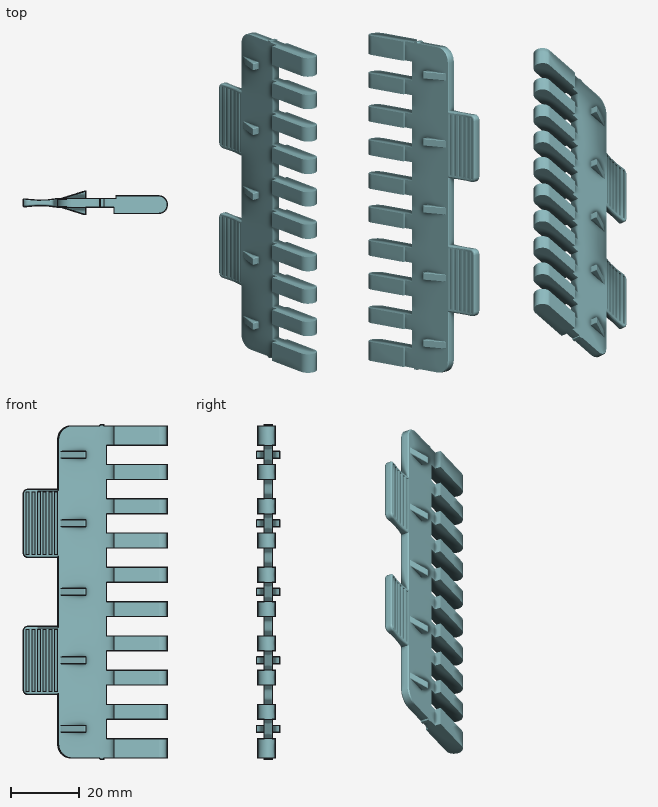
import cadquery as cq
import math

total_length_x = 42.15
total_width_y = 6.86
total_height_z = 97.7

plate_thickness = 2.6
plate_back_x = 10.1
plate_front_x = 24.4
plate_corner_radius = 4.0
plate_back_bevel = 0.3
nub_height = 0.35
plate_height = total_height_z - 2 * nub_height

tooth_count = 10
tooth_pitch = 10.0
gap_height = 5.6
tooth_back_y = 2.1
tooth_front_y = -3.1
tooth_thickness = tooth_back_y - tooth_front_y
tooth_mid_y = (tooth_back_y + tooth_front_y) / 2
tooth_step_front_x = 26.5
tooth_step_back_x = 27.1
tooth_round_x = 39.7

nub_start_x = 22.3
nub_length = 1.3
nub_slope_length = 0.25

wedge_count = 5
wedge_pitch = 20.0
wedge_start_x = 11.1
wedge_end_x = 18.3
wedge_width = 2.15
wedge_land = 0.4
wedge_edge = 0.13
wedge_tip_y = total_width_y / 2

grip_centers_z = (-20.0, 20.0)
grip_height = 20.0
grip_corner_radius = 1.5
grip_waist_thickness = 1.65
grip_waist_x = plate_back_x / 2
grip_edge_round = 0.5
grip_overlap = 1.0

groove_count = 6
groove_pitch = 1.65
groove_width = 0.9
groove_first_x = 0.9
groove_depth = 0.4
groove_end_margin = 0.9


def extruded_along_z(profile, height, center_z):
    """Extrude an XY profile by height, centred on center_z."""
    return profile.extrude(height / 2, both=True).translate((0, 0, center_z))


def plate_outline(back_x, y):
    """Plate outline with two rounded back corners, in the XZ plane at y."""
    corner_x = back_x + plate_corner_radius
    half_height = plate_height / 2
    corner_z = half_height - plate_corner_radius
    arc_x = corner_x - plate_corner_radius * math.cos(math.pi / 4)
    arc_z = corner_z + plate_corner_radius * math.sin(math.pi / 4)
    return (
        cq.Workplane("XZ", origin=(0, y, 0))
        .moveTo(plate_front_x, -half_height)
        .lineTo(corner_x, -half_height)
        .threePointArc((arc_x, -arc_z), (back_x, -corner_z))
        .lineTo(back_x, corner_z)
        .threePointArc((arc_x, arc_z), (corner_x, half_height))
        .lineTo(plate_front_x, half_height)
        .close()
    )


def make_plate():
    """Slab whose back edge is bevelled towards both faces, in X only."""
    core_y = plate_thickness / 2 - plate_back_bevel
    plate = plate_outline(plate_back_x, 0).extrude(core_y, both=True)
    face_x = plate_back_x + plate_back_bevel
    for side in (-1, 1):
        core_wire = plate_outline(plate_back_x, side * core_y).val()
        face_wire = plate_outline(face_x, side * plate_thickness / 2).val()
        plate = plate.union(cq.Workplane(cq.Solid.makeLoft([core_wire, face_wire], True)))
    return plate


def make_tooth_bar():
    """Tooth section over the full plate height, before the gaps are cut."""
    half_plate = plate_thickness / 2
    profile = (
        cq.Workplane("XY")
        .moveTo(plate_front_x, -half_plate)
        .lineTo(tooth_step_front_x, -half_plate)
        .lineTo(tooth_step_front_x, tooth_front_y)
        .lineTo(tooth_round_x, tooth_front_y)
        .threePointArc((total_length_x, tooth_mid_y), (tooth_round_x, tooth_back_y))
        .lineTo(tooth_step_back_x, tooth_back_y)
        .lineTo(tooth_step_back_x, half_plate)
        .lineTo(plate_front_x, half_plate)
        .close()
    )
    return extruded_along_z(profile, plate_height, 0)


def make_tooth_gap(center_z):
    gap_length = total_length_x - plate_front_x
    return cq.Workplane("XY").box(gap_length, 2 * tooth_thickness, gap_height).translate(
        (plate_front_x + gap_length / 2, tooth_mid_y, center_z)
    )


def make_nub(side):
    end_z = side * plate_height / 2
    return (
        cq.Workplane("XZ")
        .moveTo(nub_start_x, end_z)
        .lineTo(nub_start_x + nub_slope_length, end_z + side * nub_height)
        .lineTo(nub_start_x + nub_length, end_z + side * nub_height)
        .lineTo(nub_start_x + nub_length, end_z)
        .close()
        .extrude(plate_thickness / 2, both=True)
    )


def make_wedge_pair(center_z):
    """One wedge on each plate face, joined through the plate."""
    half_plate = plate_thickness / 2
    profile = cq.Workplane("XY").polyline([
        (wedge_start_x, -half_plate),
        (wedge_end_x - wedge_land, -wedge_tip_y),
        (wedge_end_x, -wedge_tip_y),
        (wedge_end_x, wedge_tip_y),
        (wedge_end_x - wedge_land, wedge_tip_y),
        (wedge_start_x, half_plate),
    ]).close()
    wedge = extruded_along_z(profile, wedge_width, center_z)
    return wedge.edges("#Z and (not <X)").chamfer(wedge_edge)


def make_grip(center_z):
    half_plate = plate_thickness / 2
    half_waist = grip_waist_thickness / 2
    root_x = plate_back_x + grip_overlap
    profile = (
        cq.Workplane("XY")
        .moveTo(0, -half_plate)
        .threePointArc((grip_waist_x, -half_waist), (plate_back_x, -half_plate))
        .lineTo(root_x, -half_plate)
        .lineTo(root_x, half_plate)
        .lineTo(plate_back_x, half_plate)
        .threePointArc((grip_waist_x, half_waist), (0, half_plate))
        .close()
    )
    grip = extruded_along_z(profile, grip_height, center_z)
    grip = grip.edges("|Y and <X").fillet(grip_corner_radius)
    grip = grip.faces("<X").edges("|Z").fillet(grip_edge_round)
    for index in range(groove_count):
        for side in (-1, 1):
            grip = grip.cut(make_groove(index, side, center_z))
    return grip


def make_groove(index, side, center_z):
    """Flat-floored groove, measured from a parabola close to the dished grip face."""
    half_plate = plate_thickness / 2
    mid_x = groove_first_x + index * groove_pitch + groove_width / 2
    sag = half_plate - grip_waist_thickness / 2
    offset = (mid_x - grip_waist_x) / grip_waist_x
    face_y = half_plate - sag * (1 - offset ** 2)
    floor_y = face_y - groove_depth
    cutter_y = side * (floor_y + plate_thickness / 2)
    groove_length = grip_height - 2 * groove_end_margin
    cutter = cq.Workplane("XY").box(groove_width, plate_thickness, groove_length)
    return cutter.translate((mid_x, cutter_y, center_z))


result = make_plate().union(make_tooth_bar())
for gap_index in range(tooth_count - 1):
    result = result.cut(make_tooth_gap((gap_index - (tooth_count - 2) / 2) * tooth_pitch))
for side in (-1, 1):
    result = result.union(make_nub(side))
for wedge_index in range(wedge_count):
    result = result.union(make_wedge_pair((wedge_index - (wedge_count - 1) / 2) * wedge_pitch))
for grip_z in grip_centers_z:
    result = result.union(make_grip(grip_z))